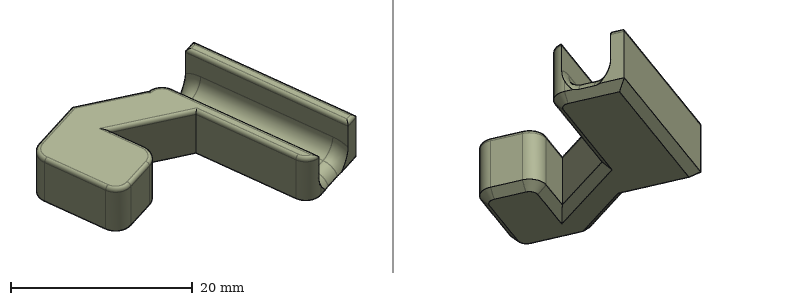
import cadquery as cq
import math

length = 27.0
depth = 24.5
height = 7.5

corner_radius = 2.0
top_radius = 0.49
bottom_chamfer = 1.0

rail_left = 5.7
wall_thickness = 1.65
floor_height = 2.3
front_wall_start = 15.34
front_wall_end = front_wall_start + wall_thickness
back_wall_start = depth - wall_thickness

foot_width = 12.0
foot_depth = 7.8
arm_left_start = 8.7
arm_inner_start = 5.5
arm_inner_end = 11.93

roll_left = rail_left + corner_radius
roll_right = length - corner_radius
roll_z = floor_height - corner_radius


def block(x0, x1, y0, y1, z1):
    """Box standing on the base plane."""
    return cq.Workplane("XY").box(x1 - x0, y1 - y0, z1, centered=False).translate((x0, y0, 0))


def make_foot_and_arm():
    foot = block(0, foot_width, 0, foot_depth, height)
    foot = foot.edges("|Z and (<Y or >X)").fillet(corner_radius)
    arm = (
        cq.Workplane("XY")
        .moveTo(0, corner_radius)
        .lineTo(0, arm_left_start)
        .lineTo(rail_left, front_wall_start)
        .lineTo(rail_left + corner_radius, front_wall_start + wall_thickness / 2)
        .lineTo(arm_inner_end, front_wall_start)
        .lineTo(arm_inner_start, foot_depth)
        .lineTo(arm_inner_start, corner_radius)
        .close()
        .extrude(height)
    )
    return foot.union(arm)


def make_rail_blank():
    """Full rail outline with its free front corner rounded."""
    blank = block(rail_left, length, front_wall_start, depth, height)
    return blank.edges("|Z and >X and <Y").fillet(corner_radius)


def make_front_wall():
    """Front wall, with the corner beside the arm rounded on its channel side."""
    wall_start = front_wall_end - 2 * corner_radius
    wall = block(rail_left, length + corner_radius, wall_start, front_wall_end, height)
    wall = wall.edges("|Z and <X and >Y").fillet(corner_radius)
    return wall.intersect(make_rail_blank())


def trough_section(x, has_front_cove):
    """Floor section at a given x, from the roll axis up, with coves against the walls."""
    cove_top = floor_height + corner_radius
    bend = corner_radius * math.sqrt(0.5)
    section = cq.Workplane("YZ", origin=(x, 0, 0)).moveTo(front_wall_start, roll_z)
    if has_front_cove:
        section = (
            section.lineTo(front_wall_start, cove_top)
            .lineTo(front_wall_end, cove_top)
            .threePointArc(
                (front_wall_end + corner_radius - bend, cove_top - bend),
                (front_wall_end + corner_radius, floor_height),
            )
        )
    else:
        section = section.lineTo(front_wall_start, floor_height)
    return (
        section.lineTo(back_wall_start - corner_radius, floor_height)
        .threePointArc(
            (back_wall_start - corner_radius + bend, cove_top - bend),
            (back_wall_start, cove_top),
        )
        .lineTo(depth, cove_top)
        .lineTo(depth, roll_z)
        .close()
    )


def make_floor():
    """Channel floor and coves: straight in the middle, rolled over at both ends."""
    base = block(rail_left, length, front_wall_start, depth, roll_z)
    middle = trough_section(roll_left, True).extrude(roll_right - roll_left)
    axis_start = (front_wall_start, roll_z)
    axis_end = (depth, roll_z)
    left_roll = trough_section(roll_left, False).revolve(360, axis_start, axis_end)
    right_roll = trough_section(roll_right, True).revolve(360, axis_start, axis_end)
    left_side = block(rail_left, roll_left, front_wall_start, depth, height)
    right_side = block(roll_right, length, front_wall_start, depth, height)
    floor = base.union(middle).union(left_roll.intersect(left_side)).union(right_roll.intersect(right_side))
    return floor.intersect(make_rail_blank())


def make_corner_cove():
    """Cove of a ball rolling between the rounded wall corner and the rolled floor end.

    Both are cylinders of equal radius, so the ball's centre follows an ellipse in a 45 degree plane.
    """
    corner_y = front_wall_end - corner_radius
    minor_radius = 2 * corner_radius
    major_radius = minor_radius * math.sqrt(2)
    ellipse_plane = cq.Plane(
        origin=(roll_left, corner_y, roll_z), xDir=(-1, 0, 0), normal=(0, 1, -1)
    )
    path = cq.Workplane(ellipse_plane).ellipseArc(minor_radius, major_radius, 0, 90, startAtCurrent=False)
    start_plane = cq.Plane(
        origin=(roll_left - minor_radius, corner_y, roll_z), xDir=(1, 0, 0), normal=(0, 1, 1)
    )
    ball_path = cq.Workplane(start_plane).circle(corner_radius).sweep(path)

    wedge = (
        cq.Workplane("YZ", origin=(rail_left, corner_y, roll_z))
        .polyline([(0, 0), (height, height / 2), (height, height), (height / 2, height)])
        .close()
        .extrude(corner_radius)
    )
    inner_side = cq.Workplane(ellipse_plane).ellipse(minor_radius, major_radius).extrude(height, both=True)
    return wedge.intersect(inner_side).cut(ball_path)


foot_and_arm = make_foot_and_arm()
envelope = foot_and_arm.union(make_rail_blank()).faces("<Z").edges().chamfer(bottom_chamfer)

back_wall = block(rail_left, length, back_wall_start, depth, height)
back_wall = back_wall.faces(">Z").edges().fillet(top_radius)
front = foot_and_arm.union(make_front_wall())
front = front.faces(">Z").edges().fillet(top_radius)

body = front.union(make_floor()).union(back_wall).union(make_corner_cove())
result = body.intersect(envelope)